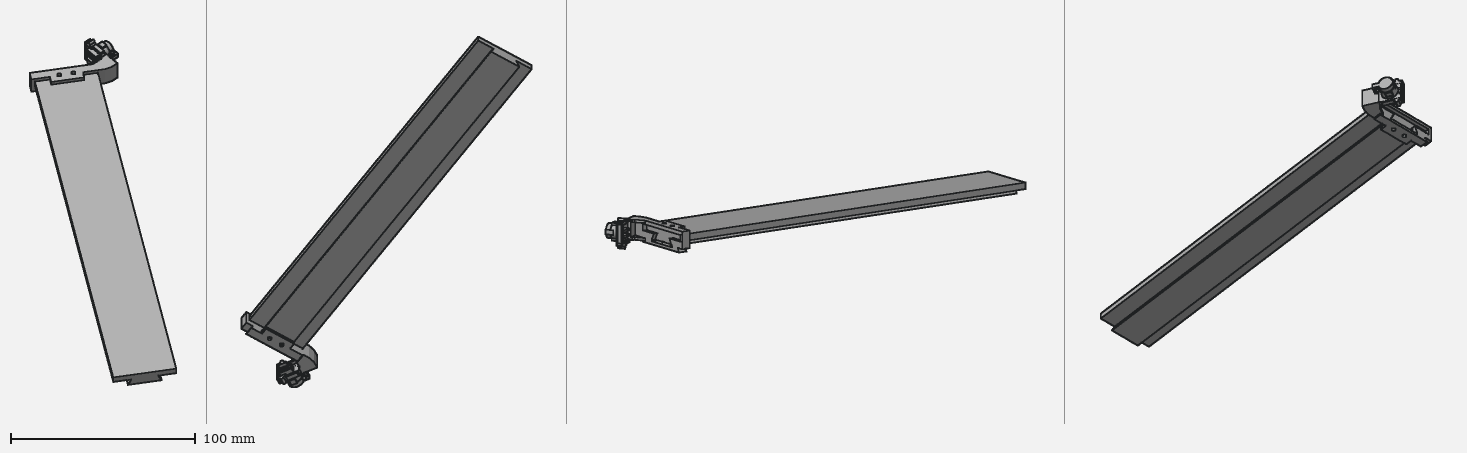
import cadquery as cq
import math

BLADE_ANGLE = 30.0
SLOPE_RUN = 0.5

ARM_HALF_HEIGHT = 5.7
FOOT_BOTTOM = -6.5
BLADE_TOP = 3.5
BLADE_STEP = -0.2
BLADE_BOTTOM = -4.1
SLOT_FLOOR = -4.8

BLADE_WIDTH = 34.8
BLADE_LENGTH = 227.3
BLADE_FAR_END = 119.5
BLADE_MIDDLE = -7.0
DOVETAIL_WIDTH = 18.7

ARM_BACK = -110.2
ARM_FRONT = -105.2
ARM_END = -26.3
TAB_REACH = 4.0
TAB_WIDTH = 18.3
FOOT_END = -23.3
HOLE_DIAMETER = 2.15
HOLE_SPACING = 7.8

HEAD_TOP = 73.0
HEAD_RIGHT = -82.8
CORNER_X = -84.0
CORNER_HEIGHT = 3.7
NECK_LEFT = -91.3
NECK_CHAMFER = 1.7
BAR_BOTTOM = 70.5
HEAD_LEFT = -105.6
HUB_RIGHT = -100.2
HUB_BOTTOM = 69.3
GROOVE_BOTTOM = 70.0
GROOVE_TOP = 72.4
GROOVE_DEPTH = 0.5
GROOVE_HALF_HEIGHT = 6.3
RAISED_HALF_HEIGHT = 6.5
RAISED_RIGHT = -93.9
RAISED_RAMP = 0.5
RECESS_HALF_HEIGHT = 4.1
WINDOW_HALF_HEIGHT = 5.2
WINDOW_LEFT = -104.8
WINDOW_WALL = 0.7
WINDOW_RIGHT = -92.2

RIDGE_X = -102.5
RIDGE_TIP = 8.5
RIDGE_DIAMETER = 2.0
RIDGE_FOOT_WIDTH = 4.0
RIDGE_FOOT_HEIGHT = 0.7

KNOB_X = -98.7
KNOB_END = 80.6
KNOB_RADIUS = 4.1
NECK_RADIUS = 4.3
NECK_TOP = 77.8
CONE_RADIUS = 4.8
CONE_TOP = 76.0
LIP_LEFT = -101.0
LIP_RIGHT = -97.4
LIP_BOTTOM = 74.8
LIP_HALF_HEIGHT = 5.0
RIB_HALF_HEIGHT = 1.3
STEM_DIAMETER = 2.8
TONGUE_LEFT = -104.3
TONGUE_RIGHT = -96.7
TONGUE_TOPS = (2.0, -1.0)
TONGUE_THICKNESS = 1.3
HOOK_RIGHT = -91.0
HOOK_BOTTOM = 77.0
HOOK_TIP = 75.5
HOOK_TIP_WIDTH = 1.3
HOOK_HALF_HEIGHT = 1.3
EYE_X = -93.5
EYE_Y = 78.5
EYE_DIAMETER = 2.8
EYE_HOLE_DIAMETER = 2.0
EYE_HALF_HEIGHT = 2.0


def box(x_range, y_range, z_range):
    """Box between two limits along each axis."""
    size = [high - low for low, high in (x_range, y_range, z_range)]
    corner = cq.Vector(x_range[0], y_range[0], z_range[0])
    return cq.Workplane(cq.Solid.makeBox(*size, corner))


def along_blade(shape):
    """Turn a shape from the blade frame (u, v) into X and Y."""
    return shape.rotate((0, 0, 0), (0, 0, 1), -BLADE_ANGLE)


def back_plane_y(x):
    """Y of the back plane of the arm at a given X."""
    angle = math.radians(BLADE_ANGLE)
    return (x * math.cos(angle) - ARM_BACK) / math.sin(angle)


def front_plane_y(x):
    """Y of the front plane of the arm at a given X."""
    angle = math.radians(BLADE_ANGLE)
    return (x * math.cos(angle) - ARM_FRONT) / math.sin(angle)


def blade_bar(start, end):
    """T section with a dovetail stem, extruded along the blade."""
    half_width = BLADE_WIDTH / 2
    half_bottom = DOVETAIL_WIDTH / 2
    half_stem = half_bottom - SLOPE_RUN * (BLADE_STEP - BLADE_BOTTOM)
    section = (
        cq.Workplane("YZ", origin=(start, BLADE_MIDDLE, 0))
        .moveTo(-half_width, BLADE_TOP)
        .lineTo(half_width, BLADE_TOP)
        .lineTo(half_width, BLADE_STEP)
        .lineTo(half_stem, BLADE_STEP)
        .lineTo(half_bottom, BLADE_BOTTOM)
        .lineTo(-half_bottom, BLADE_BOTTOM)
        .lineTo(-half_stem, BLADE_STEP)
        .lineTo(-half_width, BLADE_STEP)
        .close()
    )
    return along_blade(section.extrude(end - start))


def screw_holes():
    """Two upright cylinders through the tabs, the arm and the blade end."""
    middle = (ARM_BACK + ARM_FRONT + TAB_REACH) / 2
    holes = (
        cq.Workplane("XY", origin=(middle, BLADE_MIDDLE, FOOT_BOTTOM))
        .pushPoints([(0, -HOLE_SPACING / 2), (0, HOLE_SPACING / 2)])
        .circle(HOLE_DIAMETER / 2)
        .extrude(ARM_HALF_HEIGHT - FOOT_BOTTOM)
    )
    return along_blade(holes)


def make_blade():
    return blade_bar(BLADE_FAR_END - BLADE_LENGTH, BLADE_FAR_END).cut(screw_holes())


def arm_plan():
    """Outline of the slanted arm, its neck and its bar, from above."""
    angle = math.radians(BLADE_ANGLE)

    def corner(u):
        x = u * math.cos(angle) + ARM_END * math.sin(angle)
        y = ARM_END * math.cos(angle) - u * math.sin(angle)
        return x, y

    return (
        cq.Workplane("XY", origin=(0, 0, -ARM_HALF_HEIGHT))
        .moveTo(*corner(ARM_BACK))
        .lineTo(*corner(ARM_FRONT))
        .lineTo(CORNER_X, front_plane_y(CORNER_X))
        .lineTo(HEAD_RIGHT, front_plane_y(CORNER_X) + CORNER_HEIGHT)
        .lineTo(HEAD_RIGHT, HEAD_TOP)
        .lineTo(HUB_RIGHT, HEAD_TOP)
        .lineTo(HUB_RIGHT, BAR_BOTTOM)
        .lineTo(NECK_LEFT - NECK_CHAMFER, BAR_BOTTOM)
        .lineTo(NECK_LEFT, BAR_BOTTOM - NECK_CHAMFER)
        .lineTo(NECK_LEFT, back_plane_y(NECK_LEFT))
        .close()
        .extrude(2 * ARM_HALF_HEIGHT)
    )


def end_undercut():
    """Space under the lower end of the arm, bounded by the sloped end of the foot."""
    slope = SLOPE_RUN * (BLADE_BOTTOM - FOOT_BOTTOM)
    section = (
        cq.Workplane("YZ", origin=(ARM_BACK, 0, 0))
        .moveTo(ARM_END, BLADE_BOTTOM)
        .lineTo(FOOT_END + slope, BLADE_BOTTOM)
        .lineTo(FOOT_END, FOOT_BOTTOM)
        .lineTo(ARM_END, FOOT_BOTTOM)
        .close()
    )
    return along_blade(section.extrude(ARM_FRONT - ARM_BACK))


def foot():
    """Pad that deepens the arm below the blade."""
    pad = box(
        (ARM_BACK, ARM_FRONT),
        (ARM_END, BLADE_MIDDLE + BLADE_WIDTH / 2),
        (FOOT_BOTTOM, BLADE_BOTTOM),
    )
    return along_blade(pad)


def slot_gap():
    """Gap under the dovetail inside the arm."""
    gap_v = (BLADE_MIDDLE - DOVETAIL_WIDTH / 2, BLADE_MIDDLE + DOVETAIL_WIDTH / 2)
    return along_blade(box((ARM_BACK, ARM_FRONT), gap_v, (SLOT_FLOOR, BLADE_BOTTOM)))


def tab(bottom, top):
    """Tab that reaches over or under the blade."""
    tab_v = (BLADE_MIDDLE - TAB_WIDTH / 2, BLADE_MIDDLE + TAB_WIDTH / 2)
    return along_blade(box((ARM_BACK, ARM_FRONT + TAB_REACH), tab_v, (bottom, top)))


def raised_bar():
    """Thicker part of the bar, ramped down towards the neck."""
    return (
        cq.Workplane("XZ", origin=(0, HEAD_TOP, 0))
        .moveTo(HUB_RIGHT, -RAISED_HALF_HEIGHT)
        .lineTo(RAISED_RIGHT, -RAISED_HALF_HEIGHT)
        .lineTo(RAISED_RIGHT + RAISED_RAMP, -ARM_HALF_HEIGHT)
        .lineTo(RAISED_RIGHT + RAISED_RAMP, ARM_HALF_HEIGHT)
        .lineTo(RAISED_RIGHT, RAISED_HALF_HEIGHT)
        .lineTo(HUB_RIGHT, RAISED_HALF_HEIGHT)
        .close()
        .extrude(HEAD_TOP - BAR_BOTTOM)
    )


def hub():
    """Wider left end of the bar, with an upright groove in its outer face."""
    block = box(
        (HEAD_LEFT, HUB_RIGHT),
        (HUB_BOTTOM, HEAD_TOP),
        (-RAISED_HALF_HEIGHT, RAISED_HALF_HEIGHT),
    )
    groove = box(
        (HEAD_LEFT, HEAD_LEFT + GROOVE_DEPTH),
        (GROOVE_BOTTOM, GROOVE_TOP),
        (-GROOVE_HALF_HEIGHT, GROOVE_HALF_HEIGHT),
    )
    return block.cut(groove)


def ridge(side):
    """Round-tipped ridge across the hub, on top (side 1) or below (side -1)."""
    radius = RIDGE_DIAMETER / 2
    foot_half = RIDGE_FOOT_WIDTH / 2
    base = side * RAISED_HALF_HEIGHT
    shoulder = side * (RAISED_HALF_HEIGHT + RIDGE_FOOT_HEIGHT)
    return (
        cq.Workplane("XZ", origin=(RIDGE_X, HEAD_TOP, 0))
        .moveTo(-foot_half, base)
        .lineTo(-radius, shoulder)
        .lineTo(-radius, side * (RIDGE_TIP - radius))
        .threePointArc((0, side * RIDGE_TIP), (radius, side * (RIDGE_TIP - radius)))
        .lineTo(radius, shoulder)
        .lineTo(foot_half, base)
        .close()
        .extrude(HEAD_TOP - HUB_BOTTOM)
    )


def neck_recess():
    """Space behind the neck, down to the back plane of the arm and up to the bar."""
    right = NECK_LEFT + (BAR_BOTTOM - back_plane_y(NECK_LEFT)) * math.tan(math.radians(BLADE_ANGLE))
    return (
        cq.Workplane("XY", origin=(0, 0, -RECESS_HALF_HEIGHT))
        .moveTo(NECK_LEFT, back_plane_y(NECK_LEFT))
        .lineTo(right, BAR_BOTTOM)
        .lineTo(NECK_LEFT - NECK_CHAMFER, BAR_BOTTOM)
        .lineTo(NECK_LEFT - NECK_CHAMFER, back_plane_y(NECK_LEFT))
        .close()
        .extrude(2 * RECESS_HALF_HEIGHT)
    )


def window():
    """Pocket in the -Y side of the bar that holds the tongues of the clip."""
    return box(
        (WINDOW_LEFT, WINDOW_RIGHT),
        (HUB_BOTTOM, HEAD_TOP - WINDOW_WALL),
        (-WINDOW_HALF_HEIGHT, WINDOW_HALF_HEIGHT),
    )


def stem():
    """Round stem of the clip through the back of the window."""
    return (
        cq.Workplane("XZ", origin=(KNOB_X, HEAD_TOP, 0))
        .circle(STEM_DIAMETER / 2)
        .extrude(WINDOW_WALL)
    )


def make_arm():
    arm = arm_plan().union(foot()).cut(end_undercut())
    arm = arm.union(tab(BLADE_TOP, ARM_HALF_HEIGHT)).union(tab(FOOT_BOTTOM, SLOT_FLOOR))
    arm = arm.union(raised_bar()).union(hub())
    for side in (1, -1):
        arm = arm.union(ridge(side))
    arm = arm.cut(neck_recess()).cut(window()).cut(stem())
    arm = arm.cut(blade_bar(ARM_BACK, ARM_FRONT + TAB_REACH)).cut(slot_gap())
    return arm.cut(screw_holes())


def knob():
    """Round body on a conical base, with a flat rib on its -X side and lips above and below."""
    body = (
        cq.Workplane("XY", origin=(KNOB_X, 0, 0))
        .moveTo(0, HEAD_TOP)
        .lineTo(CONE_RADIUS, HEAD_TOP)
        .lineTo(NECK_RADIUS, CONE_TOP)
        .lineTo(NECK_RADIUS, NECK_TOP)
        .lineTo(KNOB_RADIUS, NECK_TOP)
        .lineTo(KNOB_RADIUS, KNOB_END)
        .lineTo(0, KNOB_END)
        .close()
        .revolve(360, (0, 0, 0), (0, 1, 0))
    )
    rib = box(
        (KNOB_X - NECK_RADIUS, KNOB_X),
        (CONE_TOP, KNOB_END),
        (-RIB_HALF_HEIGHT, RIB_HALF_HEIGHT),
    )
    lips = box(
        (LIP_LEFT, LIP_RIGHT),
        (LIP_BOTTOM, NECK_TOP),
        (-LIP_HALF_HEIGHT, LIP_HALF_HEIGHT),
    )
    return body.union(rib).union(lips)


def hook():
    """Plate with a turned-down tip and a drilled eye."""
    thickness = (-HOOK_HALF_HEIGHT, HOOK_HALF_HEIGHT)
    plate = box((KNOB_X, HOOK_RIGHT), (HOOK_BOTTOM, KNOB_END), thickness)
    tip = box((HOOK_RIGHT - HOOK_TIP_WIDTH, HOOK_RIGHT), (HOOK_TIP, KNOB_END), thickness)
    eye = (
        cq.Workplane("XY", origin=(EYE_X, EYE_Y, -EYE_HALF_HEIGHT))
        .circle(EYE_DIAMETER / 2)
        .extrude(2 * EYE_HALF_HEIGHT)
    )
    return plate.union(tip).union(eye)


def eye_hole():
    return (
        cq.Workplane("XY", origin=(EYE_X, EYE_Y, -EYE_HALF_HEIGHT))
        .circle(EYE_HOLE_DIAMETER / 2)
        .extrude(2 * EYE_HALF_HEIGHT)
    )


def tongue(top):
    """Flat tongue across the window, held by the stem."""
    return box(
        (TONGUE_LEFT, TONGUE_RIGHT),
        (HUB_BOTTOM, HEAD_TOP - WINDOW_WALL),
        (top - TONGUE_THICKNESS, top),
    )


def make_clip():
    clip = knob().union(hook()).cut(eye_hole()).union(stem())
    for top in TONGUE_TOPS:
        clip = clip.union(tongue(top))
    return clip


blade = make_blade()
arm = make_arm()
clip = make_clip()

result = cq.Compound.makeCompound([blade.val(), arm.val(), clip.val()])